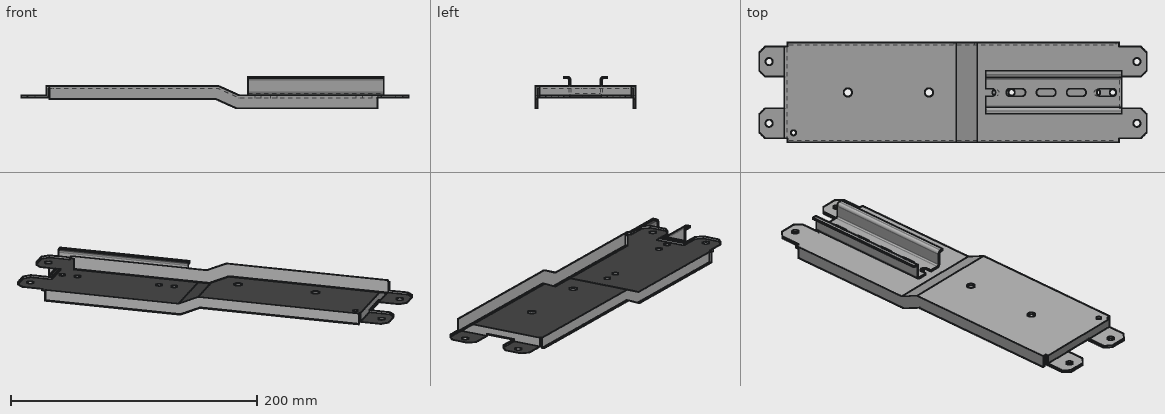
import cadquery as cq
import math

plate_length = 315.2
plate_width = 81.3
sheet = 2.0
deck_step = 7.5
flange_depth = 10.7
bend_high_x = 2.8
bend_low_x = 19.5
deck_left_x = -137.0
shoulder_left_x = -134.5
shoulder_right_x = 135.0
side_flange_right_x = 132.0

tab_pitch = 50.0
tab_width = 24.5
tab_chamfer = 5.0
tab_hole_x = 149.5
tab_hole_diameter = 5.7
narrow_width = tab_pitch + tab_width

centre_hole_xs = (-85.5, -19.5)
centre_hole_diameter = 6.5
corner_hole_x = -129.5
corner_hole_y = -32.8
corner_hole_diameter = 4.0

rail_length = 110.3
rail_centre_x = 82.0
rail_height = 15.0
rail_width = 35.0
channel_width = 27.0
rail_sheet = 1.42
bend_inner_radius = 1.3

slot_length = 15.8
slot_width = 6.3
slot_pitch = 24.5
slot_count = 5
middle_slot_x = 75.7
rail_hole_xs = (34.7, 47.5, 117.0, 130.0)
rail_hole_diameter = 5.0

slope_angle = math.atan2(deck_step, bend_low_x - bend_high_x)


def cranked_strip(depth, left_x, right_x, width):
    """Band of the given depth under the cranked deck line, centred on Y = 0."""
    bend_shift = depth * math.tan(slope_angle / 2)
    outline = [
        (left_x, deck_step),
        (bend_high_x, deck_step),
        (bend_low_x, 0),
        (right_x, 0),
        (right_x, -depth),
        (bend_low_x - bend_shift, -depth),
        (bend_high_x - bend_shift, deck_step - depth),
        (left_x, deck_step - depth),
    ]
    return cq.Workplane("XZ").polyline(outline).close().extrude(width / 2, both=True)


def make_side_flanges():
    inner_width = plate_width - 2 * sheet
    outer = cranked_strip(flange_depth, shoulder_left_x, side_flange_right_x, plate_width)
    inner = cranked_strip(flange_depth, shoulder_left_x, side_flange_right_x, inner_width)
    return outer.cut(inner)


def make_end_flange():
    """Upright strip folded down from the upper deck to the top of the tabs."""
    return (
        cq.Workplane("XY")
        .box(sheet, narrow_width, deck_step, centered=(False, True, False))
        .translate((deck_left_x, 0, 0))
    )


def make_tab(side, y):
    """Tab at one end (side = -1 or +1), chamfered at its free end.

    The left tabs reach under the end flange, and the right ones overlap the deck edge.
    """
    root_x = -deck_left_x - sheet if side < 0 else shoulder_right_x - sheet
    length = plate_length / 2 - root_x
    tab = (
        cq.Workplane("XY")
        .box(length, tab_width, sheet)
        .edges("|Z and >X" if side > 0 else "|Z and <X")
        .chamfer(tab_chamfer)
    )
    return tab.translate((side * (root_x + length / 2), y, -sheet / 2))


def drill(body, diameter, points):
    """Round holes through the sheet at the given (x, y) points."""
    tool_reach = deck_step + flange_depth
    tools = (
        cq.Workplane("XY")
        .pushPoints(points)
        .circle(diameter / 2)
        .extrude(tool_reach, both=True)
    )
    return body.cut(tools)


def make_plate():
    plate = cranked_strip(sheet, shoulder_left_x, shoulder_right_x, plate_width)
    plate = plate.union(cranked_strip(sheet, deck_left_x, shoulder_right_x, narrow_width))
    plate = plate.union(make_side_flanges())
    plate = plate.union(make_end_flange())

    tab_ys = (-tab_pitch / 2, tab_pitch / 2)
    for side in (-1, 1):
        for y in tab_ys:
            plate = plate.union(make_tab(side, y))

    tab_holes = [(side * tab_hole_x, y) for side in (-1, 1) for y in tab_ys]
    rail_holes = [(x, 0) for x in rail_hole_xs]
    plate = drill(plate, tab_hole_diameter, tab_holes)
    plate = drill(plate, centre_hole_diameter, [(x, 0) for x in centre_hole_xs])
    plate = drill(plate, corner_hole_diameter, [(corner_hole_x, corner_hole_y)])
    return drill(plate, rail_hole_diameter, rail_holes)


def make_rail_profile():
    """Top-hat section extruded along X: a U channel with two outward lips."""
    lip_edge = rail_width / 2
    wall_outer = channel_width / 2
    wall_inner = wall_outer - rail_sheet
    lip_top = rail_height
    lip_under = rail_height - rail_sheet
    inner_radius = bend_inner_radius
    outer_radius = inner_radius + rail_sheet

    half_rail = (
        cq.Workplane("YZ", origin=(rail_centre_x, 0, 0))
        .moveTo(0, 0)
        .lineTo(wall_outer - outer_radius, 0)
        .radiusArc((wall_outer, outer_radius), -outer_radius)
        .lineTo(wall_outer, lip_under - inner_radius)
        .radiusArc((wall_outer + inner_radius, lip_under), inner_radius)
        .lineTo(lip_edge, lip_under)
        .lineTo(lip_edge, lip_top)
        .lineTo(wall_inner + outer_radius, lip_top)
        .radiusArc((wall_inner, lip_top - outer_radius), -outer_radius)
        .lineTo(wall_inner, rail_sheet + inner_radius)
        .radiusArc((wall_inner - inner_radius, rail_sheet), inner_radius)
        .lineTo(0, rail_sheet)
        .close()
        .extrude(rail_length / 2, both=True)
    )
    return half_rail.union(half_rail.mirror("XZ")).clean()


def make_rail():
    rail = make_rail_profile()
    first_slot_x = middle_slot_x - slot_pitch * (slot_count // 2)
    slot_points = [(first_slot_x + i * slot_pitch, 0) for i in range(slot_count)]
    slots = (
        cq.Workplane("XY")
        .pushPoints(slot_points)
        .slot2D(slot_length, slot_width)
        .extrude(2 * rail_sheet)
    )
    return rail.cut(slots)


plate = make_plate()
rail = make_rail()

result = cq.Compound.makeCompound([plate.val(), rail.val()])